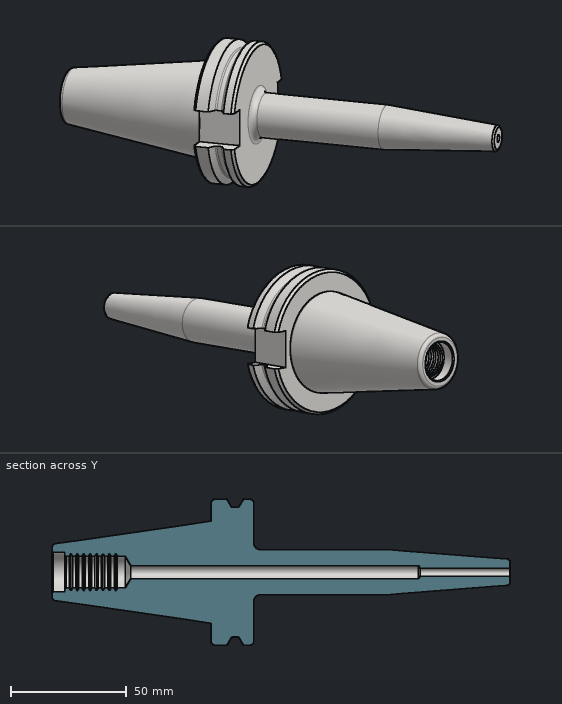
import cadquery as cq
import math

length = 198.2

gauge_diameter = 44.5
taper_length = 68.4
taper_ratio = 7 / 24
tail_diameter = gauge_diameter - taper_length * taper_ratio
tail_fillet = 1.8

flange_diameter = 63.5
flange_start = 68.8
flange_end = 87.5
rim_chamfer = 1.2
groove_center = 79.3
groove_floor_width = 3.0
groove_depth = 3.5
groove_wall_angle = 30
groove_fillet = 0.8

slot_width = 16.0
slot_floor_front = 22.8
slot_floor_back = 24.8

shank_diameter = 19.6
shank_fillet = 3.0
nose_start = 146.3
nose_angle = 4.5
tip_chamfer = 0.8

mouth_diameter = 17.8
counterbore_diameter = 16.9
counterbore_depth = 5.5
thread_chamfer_diameter = 14.7
thread_diameter = 15.9
thread_core_diameter = 13.5
thread_chamfer = (thread_chamfer_diameter - thread_core_diameter) / 2
thread_start = counterbore_depth + thread_chamfer
thread_hole_depth = 31.7
thread_pitch = 2.8
thread_turns = 8
thread_crest_width = 1.4
drill_point_angle = 118
channel_diameter = 5.5
channel_end = 158.6
tool_bore_diameter = 3.2


def revolve_about_x(points):
    """Solid of revolution from (x, radius) points."""
    return cq.Workplane("XY").polyline(points).close().revolve(360, (0, 0), (1, 0))


def round_bar(start, end, diameter):
    return cq.Workplane("YZ").workplane(offset=start).circle(diameter / 2).extrude(end - start)


def edges_at(body, x, radius):
    """Circular edge of the body at the given station and radius."""
    near = 0.02
    box_min = (x - near, -radius - near, -radius - near)
    box_max = (x + near, radius + near, radius + near)
    return body.edges(cq.selectors.BoxSelector(box_min, box_max, boundingbox=True))


def make_taper():
    tail_radius = tail_diameter / 2
    gauge_radius = gauge_diameter / 2
    taper = revolve_about_x([
        (0, 0),
        (0, tail_radius),
        (taper_length, gauge_radius),
        (flange_start, gauge_radius),
        (flange_start, 0),
    ])
    return taper.faces("<X").edges().fillet(tail_fillet)


def make_groove():
    rim_radius = flange_diameter / 2
    floor_radius = rim_radius - groove_depth
    floor_half = groove_floor_width / 2
    mouth_half = floor_half + groove_depth * math.tan(math.radians(groove_wall_angle))
    ring = revolve_about_x([
        (groove_center - floor_half, floor_radius),
        (groove_center + floor_half, floor_radius),
        (groove_center + mouth_half, rim_radius),
        (groove_center - mouth_half, rim_radius),
    ])
    return ring.edges(cq.selectors.RadiusNthSelector(0)).fillet(groove_fillet)


def make_slot(side, floor):
    """Cutter for one drive slot; side is -1 for -Y and +1 for +Y."""
    width = flange_end - flange_start
    depth = flange_diameter / 2 - floor
    center = ((flange_start + flange_end) / 2, side * (floor + depth / 2), 0)
    return cq.Workplane("XY").box(width, depth, slot_width).translate(center)


def make_flange():
    flange = round_bar(flange_start, flange_end, flange_diameter).edges().chamfer(rim_chamfer)
    flange = flange.cut(make_groove())
    flange = flange.cut(make_slot(-1, slot_floor_front))
    return flange.cut(make_slot(1, slot_floor_back))


def make_shank():
    shank_radius = shank_diameter / 2
    tip_radius = shank_radius - (length - nose_start) * math.tan(math.radians(nose_angle))
    shank = revolve_about_x([
        (flange_end, 0),
        (flange_end, shank_radius),
        (nose_start, shank_radius),
        (length, tip_radius),
        (length, 0),
    ])
    return shank.faces(">X").edges().chamfer(tip_chamfer)


def make_bore():
    core_radius = thread_core_diameter / 2
    channel_radius = channel_diameter / 2
    mouth_chamfer = (mouth_diameter - counterbore_diameter) / 2
    tool_bore_radius = tool_bore_diameter / 2
    point_steepness = math.tan(math.radians(drill_point_angle / 2))
    point_length = (core_radius - channel_radius) / point_steepness
    channel_point = (channel_radius - tool_bore_radius) / point_steepness
    return revolve_about_x([
        (0, 0),
        (0, mouth_diameter / 2),
        (mouth_chamfer, counterbore_diameter / 2),
        (counterbore_depth, counterbore_diameter / 2),
        (counterbore_depth, thread_chamfer_diameter / 2),
        (thread_start, core_radius),
        (thread_hole_depth, core_radius),
        (thread_hole_depth + point_length, channel_radius),
        (channel_end, channel_radius),
        (channel_end + channel_point, tool_bore_radius),
        (length, tool_bore_radius),
        (length, 0),
    ])


def make_thread():
    """Thread shown as a row of V-shaped ring grooves in the core bore."""
    core_radius = thread_core_diameter / 2
    outline = [(thread_start, 0), (thread_start, core_radius)]
    for turn in range(thread_turns):
        start = thread_start + turn * thread_pitch
        outline.append((start + thread_crest_width, core_radius))
        outline.append((start + (thread_crest_width + thread_pitch) / 2, thread_diameter / 2))
        outline.append((start + thread_pitch, core_radius))
    outline.append((thread_start + thread_turns * thread_pitch, 0))
    return revolve_about_x(outline)


body = make_taper().union(make_flange()).union(make_shank())
body = edges_at(body, flange_end, shank_diameter / 2).fillet(shank_fillet)
result = body.cut(make_bore()).cut(make_thread())